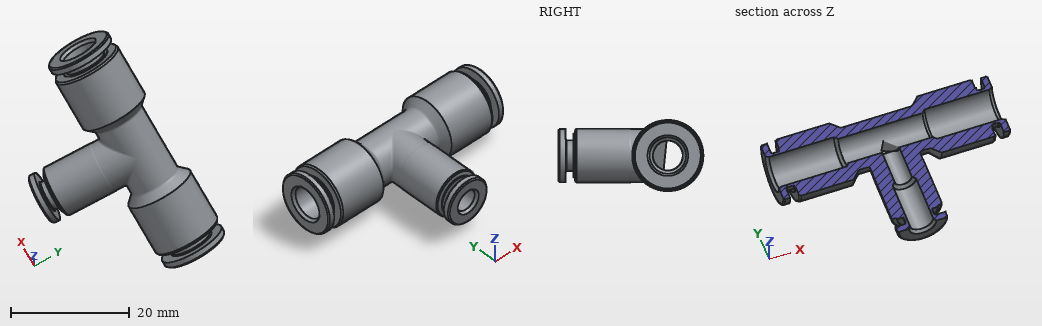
import cadquery as cq
import math

run_half_length = 20.3
branch_length = 18.4
tube_diameter = 9.0

flange_thickness = 1.2
flange_chamfer = 0.25
neck_fillet = 0.2
entry_chamfer_width = 0.35
entry_chamfer_length = 0.6

run_flange_diameter = 11.55
run_neck_diameter = 7.3
run_seat_diameter = 8.4
run_seat_depth = 2.55
run_body_depth = 2.7
run_body_diameter = 12.0
run_body_chamfer_width = 0.2
run_body_chamfer_length = 0.35
run_taper_depth = 12.42
run_taper_fillet = 0.6
run_entry_diameter = 6.15
run_bore_diameter = 5.0
run_bore_step_depth = 12.2

branch_flange_diameter = 9.0
branch_neck_diameter = 5.2
branch_body_diameter = 9.1
branch_body_start = 6.17
branch_body_start_chamfer = 0.25
branch_body_end = 15.3
branch_rim_length = 0.25
branch_rim_width = 0.15
branch_seat_diameter = 7.3
branch_seat_start = 15.7
branch_seat_end = 15.9
branch_entry_diameter = 4.15
branch_bore_diameter = 3.0
branch_bore_step = 9.35

baffle_thickness = 0.1
baffle_half_height = 2.85
baffle_length = 3.65
baffle_edge_x = -0.6
baffle_edge_y = -0.5
baffle_slope_x = 0.17
baffle_slope_y = 0.1

crotch_fillet = 0.4


def revolve_about_x(profile):
    return profile.close().revolve(360, (0, 0, 0), (1, 0, 0))


def collar(length, flange_diameter, neck_diameter, seat_position):
    """Flanged collar along +X, from the axis to its outer face at length."""
    flange_radius = flange_diameter / 2
    neck_radius = neck_diameter / 2
    flange_inner = length - flange_thickness
    profile = (
        cq.Workplane("XY")
        .moveTo(seat_position, 0)
        .lineTo(seat_position, neck_radius)
        .lineTo(flange_inner - neck_fillet, neck_radius)
        .lineTo(flange_inner, neck_radius + neck_fillet)
        .lineTo(flange_inner, flange_radius)
        .lineTo(length - flange_chamfer, flange_radius)
        .lineTo(length, flange_radius - flange_chamfer)
        .lineTo(length, 0)
    )
    return revolve_about_x(profile)


def run_end():
    """Outside of one half of the run, along +X."""
    body_radius = run_body_diameter / 2
    tube_radius = tube_diameter / 2
    seat = run_half_length - run_seat_depth
    body_end = run_half_length - run_body_depth
    taper_start = run_half_length - run_taper_depth
    taper_end = taper_start - (body_radius - tube_radius)
    tangent = run_taper_fillet * math.tan(math.pi / 8)
    diagonal = tangent / math.sqrt(2)
    profile = (
        cq.Workplane("XY")
        .lineTo(0, tube_radius)
        .lineTo(taper_end - tangent, tube_radius)
        .radiusArc((taper_end + diagonal, tube_radius + diagonal), -run_taper_fillet)
        .lineTo(taper_start, body_radius)
        .lineTo(body_end - run_body_chamfer_length, body_radius)
        .lineTo(body_end, body_radius - run_body_chamfer_width)
        .lineTo(body_end, run_seat_diameter / 2)
        .lineTo(seat, run_seat_diameter / 2)
        .lineTo(seat, 0)
    )
    outside = revolve_about_x(profile)
    return outside.union(collar(run_half_length, run_flange_diameter, run_neck_diameter, seat))


def branch_sleeve():
    """Outside of the branch beyond its root, along +X."""
    body_radius = branch_body_diameter / 2
    profile = (
        cq.Workplane("XY")
        .moveTo(branch_body_start, 0)
        .lineTo(branch_body_start, tube_diameter / 2)
        .lineTo(branch_body_start + branch_body_start_chamfer, body_radius)
        .lineTo(branch_body_end, body_radius)
        .lineTo(branch_body_end + branch_rim_length, body_radius - branch_rim_width)
        .lineTo(branch_seat_start, branch_seat_diameter / 2)
        .lineTo(branch_seat_end, branch_seat_diameter / 2)
        .lineTo(branch_seat_end, 0)
    )
    outside = revolve_about_x(profile)
    return outside.union(
        collar(branch_length, branch_flange_diameter, branch_neck_diameter, branch_seat_end)
    )


def port_bore(length, entry_diameter, bore_diameter, step_position):
    """Chamfered tube socket with a conical stop leading into the flow bore."""
    entry_radius = entry_diameter / 2
    bore_radius = bore_diameter / 2
    cone_length = entry_radius - bore_radius
    profile = (
        cq.Workplane("XY")
        .lineTo(0, bore_radius)
        .lineTo(step_position - cone_length, bore_radius)
        .lineTo(step_position, entry_radius)
        .lineTo(length - entry_chamfer_length, entry_radius)
        .lineTo(length, entry_radius + entry_chamfer_width)
        .lineTo(length, 0)
    )
    return revolve_about_x(profile)


def to_branch(shape):
    return shape.rotate((0, 0, 0), (0, 0, 1), -90)


def both_ends(shape):
    return shape.union(shape.mirror("YZ"))


def junction():
    """Crossing tubes of equal diameter, rounded where they meet."""
    radius = tube_diameter / 2
    run_tube = cq.Workplane("YZ").circle(radius).extrude(branch_body_start, both=True)
    branch_root = cq.Workplane("XZ").circle(radius).extrude(branch_body_start)
    tee = run_tube.union(branch_root)
    return tee.edges("%ELLIPSE").fillet(crotch_fillet)


def baffle_section(height):
    """Corners of the diagonal plate at one height."""
    x = baffle_edge_x + baffle_slope_x * height
    y = baffle_edge_y + baffle_slope_y * height
    reach = baffle_length / math.sqrt(2)
    offset = baffle_thickness / math.sqrt(2)
    return [
        (x, y),
        (x + reach, y - reach),
        (x + reach + offset, y - reach + offset),
        (x + offset, y + offset),
    ]


def baffle():
    return (
        cq.Workplane("XY", origin=(0, 0, -baffle_half_height))
        .polyline(baffle_section(-baffle_half_height)).close()
        .workplane(offset=2 * baffle_half_height)
        .polyline(baffle_section(baffle_half_height)).close()
        .loft(ruled=True)
    )


outside = junction().union(both_ends(run_end())).union(to_branch(branch_sleeve()))
run_bore = port_bore(
    run_half_length, run_entry_diameter, run_bore_diameter, run_half_length - run_bore_step_depth
)
branch_bore = port_bore(
    branch_length, branch_entry_diameter, branch_bore_diameter, branch_bore_step
)
passages = both_ends(run_bore).union(to_branch(branch_bore))
result = outside.cut(passages.cut(baffle()))